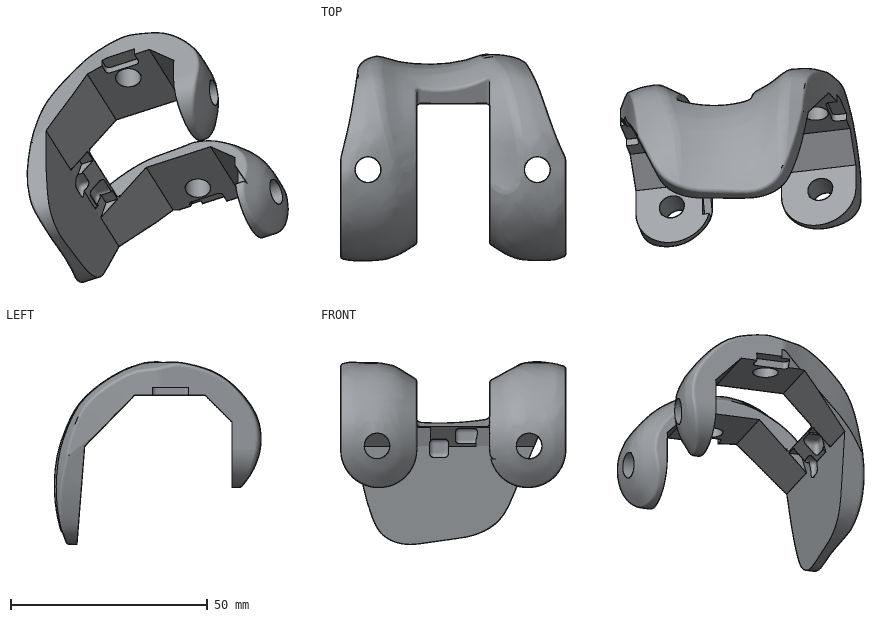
import cadquery as cq
import math


WIDTH = 57.37
HALF_WIDTH = WIDTH / 2
CONDYLE_BOTTOM = -8.83
FLANGE_BOTTOM = -23.24
REACH = 40.0

DISTAL_FACE_Z = 14.66
FLANGE_TOP = (18.65, 1.7)
FLANGE_TILT = math.radians(4.5)
DISTAL_FRONT_Y = 5.98
DISTAL_REAR_Y = -12.0
POSTERIOR_FACE_Y = -18.8
POSTERIOR_CHAMFER_Z = DISTAL_FACE_Z + POSTERIOR_FACE_Y - DISTAL_REAR_Y

CREST = [
    (23.2, -24.6), (25.2, -18.1), (26.25, -12.0), (26.3, -5.3), (25.5, 0.4), (23.6, 6.1), (20.4, 12.2),
    (15.6, 16.9), (10.4, 20.3), (5.4, 22.4), (-2.3, 23.24), (-9.5, 22.4), (-16.0, 19.8),
    (-21.6, 15.0), (-25.3, 9.3), (-26.36, 3.3), (-24.7, -3.6), (-22.5, -7.2), (-19.7, -10.6),
]
LEFT_CREST_X = [(0, -20.3), (90, -21.5)]
RIGHT_CREST_X = [(0, 9.0), (90, 21.3)]
LEFT_OUTER_CROWN = [(-10, 0.2), (90, 0.024)]
RIGHT_OUTER_CROWN = [(0, 0.02), (90, 0.025), (180, 0.038)]
INNER_CROWN = [(20, 0.0), (90, 0.031)]
MAX_CROWN_DROP = 6.0
CONDYLE_SECTIONS = 11

GROOVE_DEPTH = [(-48, 0.2), (-25, 2.7), (26, 5.2), (90, 7.4), (115, 5.6), (135, 0.0)]
GROOVE_RISE = 7.4
GROOVE_CENTRE_X = [(-10, -6.0), (45, -2.0), (90, 0.8)]
GROOVE_HALF_WIDTH = [(-10, 14.0), (35, 16.0), (90, 17.3)]
GROOVE_SECTIONS = 5

SPLIT_Y = -1.0
FLANGE_RIM = [
    (-29.0, 14.0), (-23.0, -8.1), (-20.8, -15.9), (-18.2, -20.6), (-13.0, FLANGE_BOTTOM + 0.1),
    (-4.0, -22.4), (5.3, -20.9), (11.2, -17.6), (16.1, -8.8), (21.6, 4.0), (29.0, 19.0),
]
LEFT_FLANK = [(-28.4, 2.0), (-26.8, 8.5), (-24.2, 24.2), (-23.4, 30.0)]
RIGHT_FLANK = [(28.1, 2.0), (23.4, 14.2), (19.9, 22.8), (15.0, 30.0)]

NOTCH_HALF_WIDTH = 9.27
NOTCH_FRONT = (13.4, 6.6)
NOTCH_WALL_SLOPE = 0.32
NOTCH_WALL_RUN = 12.0
NOTCH_CORNER_RADIUS = 1.0

HOLE_DIAMETER = 6.5
DISTAL_HOLES_X = (-21.7, 21.4)
DISTAL_HOLES_Y = -3.0
POSTERIOR_HOLES_X = (-19.4, 19.3)
POSTERIOR_HOLES_Z = 1.8

RIM_RADIUS = 0.9
CREASE_RADIUS = 4.0

GRIP_CENTRE_Y = -3.2
GRIP_LENGTH = 9.2
GRIP_HEIGHT = 1.95
GRIP_DEPTH = 3.5
GRIP_CORNER_RADIUS = 1.1

BRIDGE_RELIEF_X = (5.85, 9.27)
BRIDGE_RELIEF_TOP = (17.2, 6.5)

POCKET_RADIUS = 1.2
LOWER_POCKET_CENTRE = (-3.6, 18.0, 1.2)
LOWER_POCKET_SIZE = (4.9, 3.6, 4.8)
UPPER_POCKET_CENTRE = (3.4, 15.9, 4.2)
UPPER_POCKET_SIZE = (5.7, 5.0, 4.3)

SCOOP_TOP_Z = 5.0
SCOOP_BOTTOM_Z = -1.5
SCOOP_DEPTH = 2.8
SCOOP_WIDTH = 2.0


def blend(keys, angle):
    """Value at an angle, linear between keys and constant beyond the ends."""
    if angle <= keys[0][0]:
        return keys[0][1]
    for (start, low), (end, high) in zip(keys, keys[1:]):
        if angle <= end:
            return low + (high - low) * (angle - start) / (end - start)
    return keys[-1][1]


def crest_angle(y, z):
    """Angle about the X axis, counted past 180 degrees at the condyle tips."""
    angle = math.degrees(math.atan2(z, y))
    return angle + 360 if angle < -90 else angle


def condyle_drop(x, angle):
    """How far the crowned condyle surface lies below the crest."""
    left = blend(LEFT_CREST_X, angle)
    right = blend(RIGHT_CREST_X, angle)
    if x < left:
        drop = blend(LEFT_OUTER_CROWN, angle) * (left - x) ** 2
    elif x > right:
        drop = blend(RIGHT_OUTER_CROWN, angle) * (x - right) ** 2
    else:
        drop = blend(INNER_CROWN, angle) * min(x - left, right - x) ** 2
    return min(drop, MAX_CROWN_DROP)


def groove_drop(x, angle):
    """How far the trochlear groove lies below the crest; negative where it stands above it."""
    offset = (x - blend(GROOVE_CENTRE_X, angle)) / blend(GROOVE_HALF_WIDTH, angle)
    rise = GROOVE_RISE * offset**2 if angle > 90 else blend(GROOVE_DEPTH, angle) * offset**2
    return blend(GROOVE_DEPTH, angle) - rise


def crest_loft(drop, section_count):
    """Solid across the full width whose skin is the crest lowered by drop(x, angle)."""
    sections = []
    for i in range(section_count):
        x = WIDTH * 1.04 * (i / (section_count - 1) - 0.5)
        points = []
        for y, z in CREST:
            scale = 1 - drop(x, crest_angle(y, z)) / math.hypot(y, z)
            points.append(cq.Vector(x, y * scale, z * scale))
        skin = cq.Edge.makeSpline(points)
        closing = cq.Edge.makeLine(points[-1], points[0])
        sections.append(cq.Wire.assembleEdges([skin, closing]))
    return cq.Workplane(cq.Solid.makeLoft(sections))


def bone_box():
    """Faceted space the component sits on."""
    flange_foot_y = FLANGE_TOP[0] + (FLANGE_TOP[1] + REACH) * math.tan(FLANGE_TILT)
    outline = [
        (flange_foot_y, -REACH),
        FLANGE_TOP,
        (DISTAL_FRONT_Y, DISTAL_FACE_Z),
        (DISTAL_REAR_Y, DISTAL_FACE_Z),
        (POSTERIOR_FACE_Y, POSTERIOR_CHAMFER_Z),
        (POSTERIOR_FACE_Y, -REACH),
    ]
    return cq.Workplane("YZ").polyline(outline).close().extrude(REACH, both=True)


def flange_outline():
    """Envelope of the anterior half: tapered seen along Y and along Z."""
    along_y = (
        cq.Workplane("XZ")
        .moveTo(*FLANGE_RIM[0])
        .spline(FLANGE_RIM[1:], includeCurrent=True)
        .lineTo(FLANGE_RIM[-1][0], REACH)
        .lineTo(FLANGE_RIM[0][0], REACH)
        .close()
        .extrude(-REACH)
    )
    along_z = (
        cq.Workplane("XY")
        .moveTo(-HALF_WIDTH, 0)
        .spline(LEFT_FLANK, tangents=[(0, 1), (0.14, 1)], includeCurrent=True)
        .lineTo(*RIGHT_FLANK[-1])
        .spline([*RIGHT_FLANK[-2::-1], (HALF_WIDTH, 0)], tangents=[(0.7, -1), (0, -1)], includeCurrent=True)
        .close()
        .extrude(2 * REACH)
        .translate((0, 0, -REACH))
    )
    return along_y.intersect(along_z).translate((0, SPLIT_Y, 0))


def condyle_outline():
    """Envelope of the posterior half: two round-ended strips."""
    width = HALF_WIDTH - NOTCH_HALF_WIDTH
    centre_x = NOTCH_HALF_WIDTH + width / 2
    strips = (
        cq.Workplane("XZ")
        .pushPoints([(side * centre_x, CONDYLE_BOTTOM + REACH) for side in (-1, 1)])
        .slot2D(2 * REACH, width, 90)
        .extrude(REACH)
    )
    return strips.translate((0, SPLIT_Y, 0))


def notch():
    """Gap between the condyles, with rounded corners along its sloping front wall."""
    front_y, front_z = NOTCH_FRONT
    far_y = front_y + NOTCH_WALL_RUN
    outline = [
        (front_y, -REACH),
        NOTCH_FRONT,
        (far_y, front_z + NOTCH_WALL_RUN * NOTCH_WALL_SLOPE),
        (far_y, REACH),
        (-REACH, REACH),
        (-REACH, -REACH),
    ]
    gap = cq.Workplane("YZ").polyline(outline).close().extrude(NOTCH_HALF_WIDTH, both=True)
    wall_y = front_y + NOTCH_WALL_RUN / 2
    wall_z = front_z + NOTCH_WALL_RUN / 2 * NOTCH_WALL_SLOPE
    left_corner = cq.selectors.NearestToPointSelector((-NOTCH_HALF_WIDTH, wall_y, wall_z))
    right_corner = cq.selectors.NearestToPointSelector((NOTCH_HALF_WIDTH, wall_y, wall_z))
    return gap.edges(left_corner + right_corner).fillet(NOTCH_CORNER_RADIUS)


def holes():
    """Round holes through the distal and the posterior part of each condyle."""
    distal = (
        cq.Workplane("XY")
        .pushPoints([(x, DISTAL_HOLES_Y) for x in DISTAL_HOLES_X])
        .circle(HOLE_DIAMETER / 2)
        .extrude(REACH)
    )
    posterior = (
        cq.Workplane("XZ")
        .pushPoints([(x, POSTERIOR_HOLES_Z) for x in POSTERIOR_HOLES_X])
        .circle(HOLE_DIAMETER / 2)
        .extrude(REACH)
    )
    return distal.union(posterior)


def is_crease(edge):
    """Long edge where the groove runs into a condyle."""
    box = edge.BoundingBox()
    return box.ymin < DISTAL_FRONT_Y - 8 and box.ymax > FLANGE_TOP[0] + 6 and box.xlen > 8


def is_rim(edge):
    """Edge where the articulating surface meets a side wall, the notch or the outline."""
    centre = edge.Center()
    on_skin = edge.geomType() == "BSPLINE" and math.hypot(centre.y, centre.z) > 17
    return on_skin and (centre.z > -12 or centre.y > 20)


def round_edges(part, wanted, radius):
    """Fillet the edges of the part that satisfy the given test."""
    edges = [edge for edge in part.edges().vals() if wanted(edge)]
    return part.newObject(edges).fillet(radius)


def grip_recess(side):
    """Recess in the distal bone face, open to the outer side wall."""
    return (
        cq.Workplane("XY")
        .box(2 * GRIP_DEPTH, GRIP_LENGTH, 2 * GRIP_HEIGHT)
        .edges("|Z")
        .fillet(GRIP_CORNER_RADIUS)
        .translate((side * HALF_WIDTH, GRIP_CENTRE_Y, DISTAL_FACE_Z))
    )


def bridge_relief(side):
    """Wedge cut into the chamfer under the bridge, beside a notch corner."""
    inner, outer = BRIDGE_RELIEF_X
    top_y, top_z = BRIDGE_RELIEF_TOP
    front_y, _ = NOTCH_FRONT
    return (
        cq.Workplane("YZ")
        .polyline([FLANGE_TOP, (top_y, top_z), (front_y, top_z)])
        .close()
        .extrude(outer - inner)
        .translate((inner if side > 0 else -outer, 0, 0))
    )


def rounded_pocket(centre, size):
    """Box with all edges rounded."""
    return cq.Workplane("XY").box(*size).edges().fillet(POCKET_RADIUS).translate(centre)


def tip_scoop():
    """Wedge cut into the bone face of the right condyle, open to the notch."""
    return (
        cq.Workplane("YZ")
        .polyline([
            (POSTERIOR_FACE_Y, SCOOP_TOP_Z),
            (POSTERIOR_FACE_Y - SCOOP_DEPTH, SCOOP_BOTTOM_Z),
            (POSTERIOR_FACE_Y, SCOOP_BOTTOM_Z),
        ])
        .close()
        .extrude(SCOOP_WIDTH)
        .translate((NOTCH_HALF_WIDTH, 0, 0))
    )


body = crest_loft(condyle_drop, CONDYLE_SECTIONS).intersect(crest_loft(groove_drop, GROOVE_SECTIONS))
body = body.intersect(flange_outline().union(condyle_outline()))
body = round_edges(body.cut(notch()), is_crease, CREASE_RADIUS)
body = round_edges(body, is_rim, RIM_RADIUS)

bone_side = bone_box().union(tip_scoop())
for side in (-1, 1):
    bone_side = bone_side.union(grip_recess(side)).union(bridge_relief(side))
bone_side = bone_side.union(rounded_pocket(LOWER_POCKET_CENTRE, LOWER_POCKET_SIZE))
bone_side = bone_side.union(rounded_pocket(UPPER_POCKET_CENTRE, UPPER_POCKET_SIZE))
result = body.cut(bone_side.union(holes()))